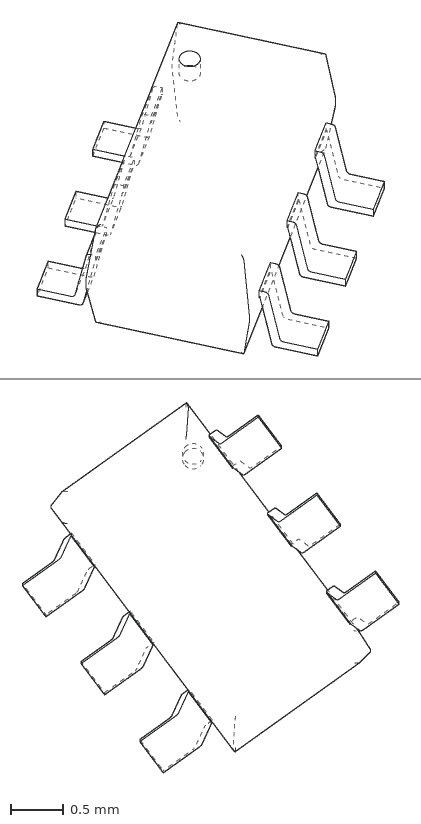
import cadquery as cq
import math

BODY_WIDTH = 1.63
BODY_LENGTH = 2.95
BODY_BOTTOM = 0.075
BODY_TOP = 1.45
END_INSET = 0.08
RIM_RADIUS = 0.045

LEAD_SPAN = 2.8
LEAD_WIDTH = 0.38
LEAD_THICKNESS = 0.097
LEAD_PITCH = 0.95
LEADS_PER_SIDE = 3
LEAD_TOP = 0.745
SHANK_TILT = 10.8
SHOULDER_REACH = 0.088
BEND_RADIUS = 0.04

MARKER_DIAMETER = 0.205
MARKER_DEPTH = MARKER_DIAMETER
MARKER_X = -0.487
MARKER_Y = LEAD_PITCH

BAND_BOTTOM = LEAD_TOP - LEAD_THICKNESS


def tapered_block(base, height):
    """Block extruded from the full body outline on base, narrowing by END_INSET at its far end."""
    taper = math.degrees(math.atan(END_INSET / height))
    return base.rect(BODY_WIDTH, BODY_LENGTH).extrude(height, taper=taper)


def make_package():
    """Tapered body with a straight parting band, rounded rims and a marker recess."""
    upper_base = cq.Workplane("XY", origin=(0, 0, LEAD_TOP))
    lower_base = cq.Workplane(cq.Plane(origin=(0, 0, BAND_BOTTOM), xDir=(1, 0, 0), normal=(0, 0, -1)))
    upper = tapered_block(upper_base, BODY_TOP - LEAD_TOP)
    lower = tapered_block(lower_base, BAND_BOTTOM - BODY_BOTTOM)
    band = upper_base.rect(BODY_WIDTH, BODY_LENGTH).extrude(-LEAD_THICKNESS)
    body = band.union(upper).union(lower)
    body = body.faces(">Z or <Z").edges().fillet(RIM_RADIUS)
    marker = (
        cq.Workplane("XY", origin=(MARKER_X, MARKER_Y, BODY_TOP - MARKER_DEPTH))
        .circle(MARKER_DIAMETER / 2)
        .extrude(MARKER_DEPTH)
    )
    return body.cut(marker)


def make_lead(y_center):
    """Gull-wing lead on the +X side, from the body face down to the toe."""
    root_x = BODY_WIDTH / 2
    toe_x = LEAD_SPAN / 2
    tilt = math.tan(math.radians(SHANK_TILT))
    shank_run = LEAD_THICKNESS / math.cos(math.radians(SHANK_TILT))
    upper_bend_x = root_x + SHOULDER_REACH

    def outer_x(z):
        return upper_bend_x + (LEAD_TOP - z) * tilt

    lead = (
        cq.Workplane("XZ", origin=(0, y_center + LEAD_WIDTH / 2, 0))
        .moveTo(root_x, LEAD_TOP)
        .lineTo(upper_bend_x, LEAD_TOP)
        .lineTo(outer_x(LEAD_THICKNESS), LEAD_THICKNESS)
        .lineTo(toe_x, LEAD_THICKNESS)
        .lineTo(toe_x, 0)
        .lineTo(outer_x(0) - shank_run, 0)
        .lineTo(outer_x(BAND_BOTTOM) - shank_run, BAND_BOTTOM)
        .lineTo(root_x, BAND_BOTTOM)
        .close()
        .extrude(LEAD_WIDTH)
    )
    bend_points = [
        (upper_bend_x, y_center, LEAD_TOP),
        (outer_x(LEAD_THICKNESS), y_center, LEAD_THICKNESS),
        (outer_x(0) - shank_run, y_center, 0),
    ]
    for point in bend_points:
        lead = lead.edges(cq.selectors.NearestToPointSelector(point)).fillet(BEND_RADIUS)
    return lead


package = make_package()

leads = []
for row in range(LEADS_PER_SIDE):
    y_center = (row - (LEADS_PER_SIDE - 1) / 2) * LEAD_PITCH
    right_lead = make_lead(y_center)
    left_lead = right_lead.mirror("YZ")
    leads += [right_lead.val(), left_lead.val()]

result = cq.Compound.makeCompound([package.val(), *leads])